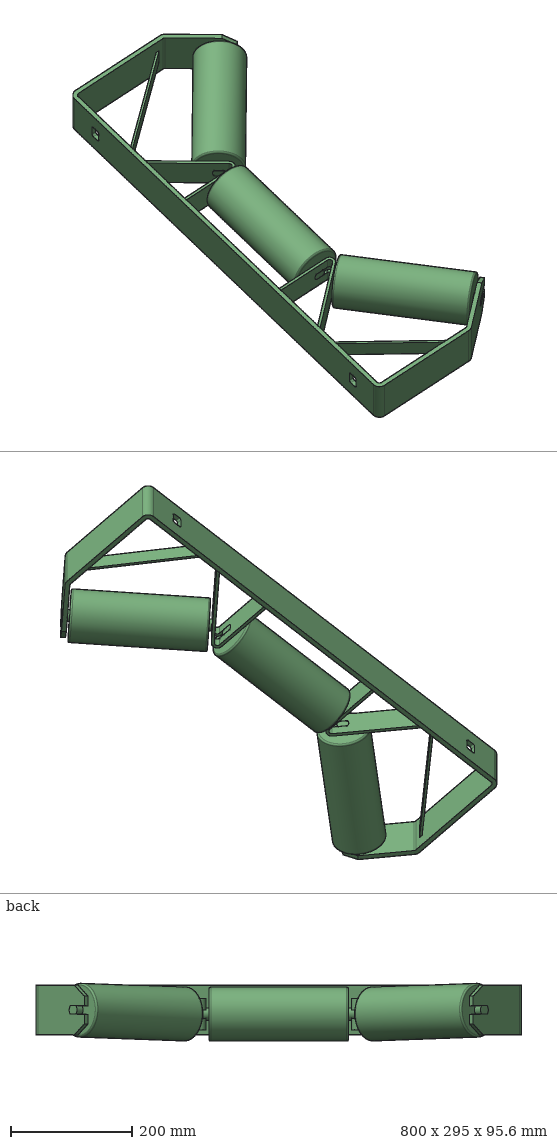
import cadquery as cq
import math


frame_length = 800.0
frame_thickness = 8.0
frame_height = 82.0
frame_bend_radius = 13.0
wing_corner_y = 197.7
wing_length = 123.8
wing_angle = math.radians(50)
tip_chamfer_along = 25.5
tip_chamfer_across = 18.0

mount_slot_spacing = 667.0
mount_slot_width = 17.0
mount_slot_height = 24.0
mount_slot_corner = 3.5

roller_diameter = 89.0
roller_length = 230.0
roller_edge_radius = 3.0
gauge = 240.0
spindle_diameter = 20.0
spindle_flats = 14.0
shoulder_clearance = 0.5
middle_roller_y = 101.5
roller_drop = 6.8
wing_seat_from_tip = 28.7

bracket_thickness = 5.0
bracket_height = 52.0
bracket_bend_radius = 10.0

brace_thickness = 4.0
brace_height = 30.0
brace_foot_x = -257.0
brace_head_y = 178.0

sides = (-1, 1)
side_x = -frame_length / 2
along_y = cq.Vector(0, 1, 0)
along_wing = cq.Vector(math.cos(wing_angle), math.sin(wing_angle), 0)
across_wing = cq.Vector(math.sin(wing_angle), -math.cos(wing_angle), 0)
wing_corner = cq.Vector(side_x, wing_corner_y, 0)
wing_tip = wing_corner + along_wing * wing_length

frame_seat = wing_tip - along_wing * wing_seat_from_tip + across_wing * frame_thickness
bracket_seat = frame_seat + across_wing * gauge - cq.Vector(0, 0, roller_drop)
middle_seat = cq.Vector(-gauge / 2, middle_roller_y, -roller_drop)
middle_far_seat = cq.Vector(gauge / 2, middle_roller_y, -roller_drop)
wing_axis = (bracket_seat - frame_seat).normalized()


def for_side(side, left_body):
    """The left body itself for side -1, its mirror image for side 1."""
    return left_body if side < 0 else left_body.mirror("YZ")


def bent_strip(outer_points, thickness, height, bend_radius):
    """Strip centred on Z = 0 with its outer face through outer_points and its thickness to their left."""
    runs = [(end - start).normalized() for start, end in zip(outer_points, outer_points[1:])]
    normals = [cq.Vector(-run.y, run.x, 0) for run in runs]
    inner_points = [outer_points[0] + normals[0] * thickness]
    for point, before, after in zip(outer_points[1:], normals, normals[1:]):
        inner_points.append(point + (before + after) * (thickness / (1 + before.dot(after))))
    inner_points.append(outer_points[-1] + normals[-1] * thickness)

    outline = [(point.x, point.y) for point in outer_points + inner_points[::-1]]
    strip = cq.Workplane("XY").polyline(outline).close().extrude(height / 2, both=True)
    for points, radius in ((outer_points, bend_radius), (inner_points, bend_radius - thickness)):
        for corner in points[1:-1]:
            strip = strip.edges(cq.NearestToPointSelector(corner.toTuple())).fillet(radius)
    return strip


def flatted_profile(plane, length):
    """Spindle end: a round bar with two flats, extruded along the plane's normal."""
    bar = cq.Workplane(plane).circle(spindle_diameter / 2).extrude(length)
    flats = cq.Workplane(plane).rect(spindle_diameter, spindle_flats).extrude(length)
    return bar.intersect(flats)


def spindle_slot(seat, axis, open_direction, depth, run_out):
    """Slot cut along axis from a clear distance before the seat; it fits the spindle's flatted end."""
    lead_in = (gauge - roller_length) / 4
    plane = cq.Plane(origin=seat - axis * lead_in, xDir=open_direction, normal=axis)
    channel = (
        cq.Workplane(plane)
        .center(run_out / 2, 0)
        .rect(run_out, spindle_flats)
        .extrude(lead_in + depth)
    )
    return flatted_profile(plane, lead_in + depth).union(channel)


def make_frame():
    left_points = [wing_tip, wing_corner, cq.Vector(side_x, 0, 0)]
    right_points = [cq.Vector(-point.x, point.y, 0) for point in reversed(left_points)]
    frame = bent_strip(left_points + right_points, frame_thickness, frame_height, frame_bend_radius)

    mount_slots = (
        cq.Workplane("XZ")
        .pushPoints([(side * mount_slot_spacing / 2, 0) for side in sides])
        .rect(mount_slot_width, mount_slot_height)
        .extrude(-frame_thickness)
        .edges("|Y")
        .fillet(mount_slot_corner)
    )
    frame = frame.cut(mount_slots)

    tip_plane = cq.Plane(origin=wing_tip, xDir=along_wing, normal=across_wing)
    seat_slot = spindle_slot(
        frame_seat, wing_axis * -1, along_wing, 2 * frame_thickness, 2 * wing_seat_from_tip
    )
    for side in sides:
        for edge in (-1, 1):
            edge_z = edge * frame_height / 2
            corner = (
                cq.Workplane(tip_plane)
                .polyline([
                    (0, edge_z),
                    (-tip_chamfer_along, edge_z),
                    (0, edge_z - edge * tip_chamfer_across),
                ])
                .close()
                .extrude(frame_thickness)
            )
            frame = frame.cut(for_side(side, corner))
        frame = frame.cut(for_side(side, seat_slot))
    return frame


def make_bracket(side):
    apex_rise = (middle_seat.x - bracket_seat.x) / along_wing.x
    apex = bracket_seat + along_wing * apex_rise
    foot_length = apex.y / along_wing.y
    wing_foot = apex - along_wing * foot_length
    outer_points = [cq.Vector(middle_seat.x, 0, 0), cq.Vector(apex.x, apex.y, 0), cq.Vector(wing_foot.x, 0, 0)]
    bracket = bent_strip(outer_points, bracket_thickness, bracket_height, bracket_bend_radius)
    bracket = bracket.translate((0, 0, middle_seat.z))

    below_base_top = cq.Workplane("XY").box(frame_length, 2 * frame_thickness, 2 * frame_height)
    bracket = bracket.cut(below_base_top)

    slot_depth = bracket_thickness + bracket_bend_radius
    bracket = bracket.cut(spindle_slot(bracket_seat, wing_axis, along_wing, slot_depth, apex_rise))
    middle_slot = spindle_slot(
        middle_seat, cq.Vector(-1, 0, 0), along_y, slot_depth, apex.y - middle_seat.y
    )
    return for_side(side, bracket.cut(middle_slot))


def make_brace(side):
    head_x = side_x + frame_thickness
    foot_y = frame_thickness
    slope = math.atan2(brace_head_y - foot_y, brace_foot_x - head_x)
    brace = (
        cq.Workplane("XY")
        .polyline([
            (brace_foot_x, foot_y),
            (brace_foot_x + brace_thickness / math.sin(slope), foot_y),
            (head_x, brace_head_y + brace_thickness / math.cos(slope)),
            (head_x, brace_head_y),
        ])
        .close()
        .extrude(brace_height / 2, both=True)
    )
    return for_side(side, brace)


def make_roller(start_seat, end_seat, flat_direction, start_plate, end_plate):
    """Roller between two seats; the flatted spindle ends are flush with the far faces of the plates."""
    span = end_seat - start_seat
    axis = span.normalized()

    def plane_at(distance):
        return cq.Plane(origin=start_seat + axis * distance, xDir=flat_direction, normal=axis)

    shell = (
        cq.Workplane(plane_at((span.Length - roller_length) / 2))
        .circle(roller_diameter / 2)
        .extrude(roller_length)
        .edges()
        .fillet(roller_edge_radius)
    )
    journal = (
        cq.Workplane(plane_at(shoulder_clearance))
        .circle(spindle_diameter / 2)
        .extrude(span.Length - 2 * shoulder_clearance)
    )
    ends = flatted_profile(plane_at(-start_plate), start_plate + span.Length + end_plate)
    return shell.union(journal).union(ends)


frame = make_frame()
brackets = [make_bracket(side) for side in sides]
braces = [make_brace(side) for side in sides]
middle_roller = make_roller(
    middle_seat, middle_far_seat, along_y, bracket_thickness, bracket_thickness
)
wing_roller = make_roller(frame_seat, bracket_seat, along_wing, frame_thickness, bracket_thickness)
wing_rollers = [for_side(side, wing_roller) for side in sides]

bodies = [frame, *brackets, *braces, middle_roller, *wing_rollers]
result = cq.Compound.makeCompound([body.val() for body in bodies])